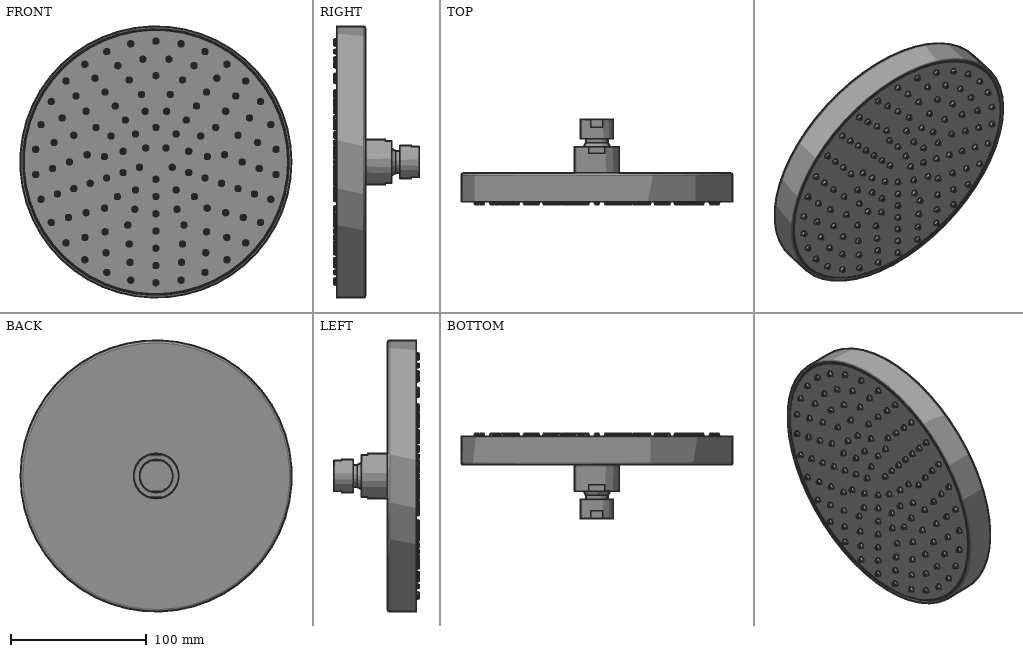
import cadquery as cq
import math


head_diameter = 200.0
head_thickness = 21.0
back_fillet = 1.8
rim_height = 0.2
rim_inner_diameter = 196.0
rim_outer_fillet = 0.5
rim_inner_fillet = 0.5
spray_face_diameter = 194.5
groove_depth = 1.0

nozzle_diameter = 4.2
nozzle_tip_diameter = 2.5
nozzle_hole_diameter = 1.2
nozzle_height = 2.5
nozzle_hole_depth = 1.2
nozzle_counts = [5, 10, 15, 15, 20, 25, 30]
outer_nozzle_circle_radius = 89.0
first_nozzle_angle = -90.0

nut_diameter = 33.2
nut_height = 19.5
nut_across_flats = 31.0
nut_flat_height = 4.8
nut_edge_fillet = 0.5

neck_diameter = 16.5
flare_diameter = 19.5
flare_height = 3.0
neck_height = 5.8
connector_diameter = 24.5
connector_height = 14.5
connector_across_flats = 22.8
connector_flat_height = 5.8
connector_edge_fillet = 0.5

nut_bottom = head_thickness
nut_top = nut_bottom + nut_height
connector_bottom = nut_top + neck_height
connector_top = connector_bottom + connector_height


def disc(diameter, bottom, height):
    """Cylinder along Y that starts at Y = bottom."""
    plane = cq.Workplane("XZ", origin=(0, bottom, 0))
    return plane.circle(diameter / 2).extrude(-height)


def flatted_cylinder(diameter, bottom, top, across_flats, flat_height, edge_fillet):
    """Cylinder along Y with two flats, facing +Z and -Z, on its +Y end, and rounded end edges."""
    slab = cq.Workplane("XY").box(diameter, flat_height, across_flats)
    end = disc(diameter, top - flat_height, flat_height)
    flatted_end = end.intersect(slab.translate((0, top - flat_height / 2, 0)))
    body = disc(diameter, bottom, top - bottom).cut(end.cut(flatted_end))
    return body.faces(">Y or <Y").edges().fillet(edge_fillet)


def nozzle_points():
    """Centres (X, Z) of the nozzles, on evenly spaced circles around the axis."""
    points = []
    for ring, count in enumerate(nozzle_counts, start=1):
        radius = outer_nozzle_circle_radius * ring / len(nozzle_counts)
        for step in range(count):
            angle = math.radians(first_nozzle_angle + 360.0 * step / count)
            points.append((radius * math.cos(angle), radius * math.sin(angle)))
    return points


def make_head():
    body = disc(head_diameter, -rim_height, rim_height + head_thickness)
    body = body.faces(">Y").edges().fillet(back_fillet)
    body = body.faces("<Y").edges().fillet(rim_outer_fillet)
    body = body.cut(disc(rim_inner_diameter, -rim_height, rim_height + groove_depth))
    rim_inner_edge = cq.selectors.RadiusNthSelector(0)
    body = body.faces("<Y").edges(rim_inner_edge).fillet(rim_inner_fillet)
    body = body.union(disc(spray_face_diameter, 0, groove_depth))
    return body.union(make_nozzles())


def make_nozzles():
    """Conical nozzles on the spray face, each with a blind hole in its tip."""
    base = cq.Workplane("XZ").circle(nozzle_diameter / 2)
    nozzle = base.workplane(offset=nozzle_height).circle(nozzle_tip_diameter / 2).loft(ruled=True)
    nozzle = nozzle.cut(disc(nozzle_hole_diameter, -nozzle_height, nozzle_hole_depth))
    nozzles = [nozzle.translate((x, 0, z)).val() for x, z in nozzle_points()]
    return cq.Workplane(cq.Compound.makeCompound(nozzles))


def make_swivel():
    connector = flatted_cylinder(
        connector_diameter,
        connector_bottom,
        connector_top,
        connector_across_flats,
        connector_flat_height,
        connector_edge_fillet,
    )
    neck_radius = neck_diameter / 2
    neck = (
        cq.Workplane("XY")
        .moveTo(0, nut_top)
        .lineTo(flare_diameter / 2, nut_top)
        .lineTo(neck_radius, nut_top + flare_height)
        .lineTo(neck_radius, connector_bottom)
        .lineTo(0, connector_bottom)
        .close()
        .revolve(360, (0, 0, 0), (0, 1, 0))
    )
    return connector.union(neck)


head = make_head()
clamp_nut = flatted_cylinder(
    nut_diameter, nut_bottom, nut_top, nut_across_flats, nut_flat_height, nut_edge_fillet
)
swivel = make_swivel()

result = cq.Compound.makeCompound([head.val(), clamp_nut.val(), swivel.val()])